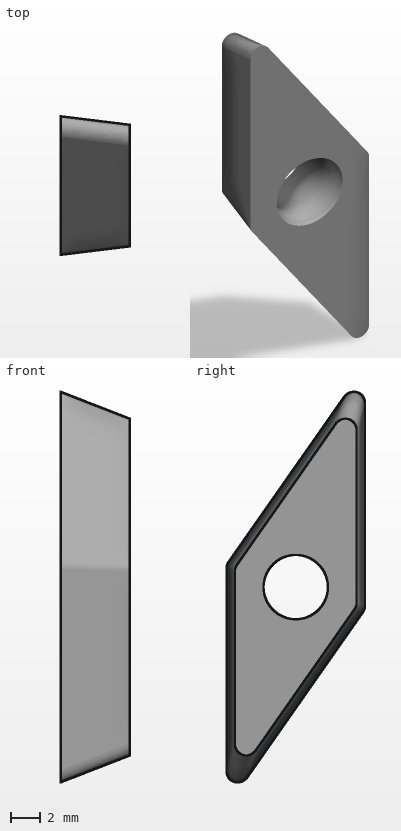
import cadquery as cq
import math

inscribed_circle = 9.525
thickness = 4.76
acute_angle = math.radians(35)
clearance_angle = math.radians(7)
corner_radius = 0.8

bore_radius = 2.2
mouth_radius = 2.65
seat_radius = 2.58
mouth_depth = 0.3
seat_curve_radius = 3.0


def rhombus_corners(circle_diameter):
    """Corners (y, z) of a rhombus around a circle, with two of its sides along Z."""
    half_width = circle_diameter / 2
    side = circle_diameter / math.sin(acute_angle)
    acute_z = side * (1 + math.cos(acute_angle)) / 2
    obtuse_z = side - acute_z
    return [
        (half_width, acute_z),
        (half_width, -obtuse_z),
        (-half_width, -acute_z),
        (-half_width, obtuse_z),
    ]


def make_body():
    """Tapered rhombus with all four flank edges rounded."""
    back_circle = inscribed_circle - 2 * thickness * math.tan(clearance_angle)
    body = (
        cq.Workplane("YZ")
        .polyline(rhombus_corners(inscribed_circle))
        .close()
        .workplane(offset=thickness)
        .polyline(rhombus_corners(back_circle))
        .close()
        .loft(ruled=True)
    )
    flank_edges = body.edges("not #X")
    return flank_edges.fillet(corner_radius)


def make_hole():
    """Solid of the hole, turned about X; the seat curve runs tangent into the bore."""
    curve_center_radius = bore_radius + seat_curve_radius
    start_angle = math.acos((curve_center_radius - seat_radius) / seat_curve_radius)
    seat_end = mouth_depth + seat_curve_radius * math.sin(start_angle)
    middle_angle = start_angle / 2
    seat_middle = (
        seat_end - seat_curve_radius * math.sin(middle_angle),
        curve_center_radius - seat_curve_radius * math.cos(middle_angle),
    )
    return (
        cq.Workplane("XY")
        .lineTo(0, mouth_radius)
        .lineTo(mouth_depth, seat_radius)
        .threePointArc(seat_middle, (seat_end, bore_radius))
        .lineTo(thickness, bore_radius)
        .lineTo(thickness, 0)
        .close()
        .revolve(360, (0, 0, 0), (1, 0, 0))
    )


result = make_body().cut(make_hole())